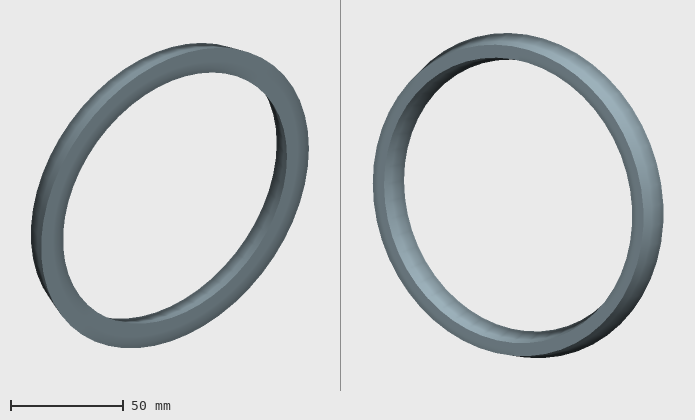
import cadquery as cq

width = 12.0
outer_diameter = 146.6
bore_diameter = 122.6
flank_inset = 3.1

outer_radius = outer_diameter / 2
bore_radius = bore_diameter / 2

section = (
    cq.Workplane("XY")
    .moveTo(0, bore_radius + flank_inset)
    .lineTo(0, outer_radius - flank_inset)
    .lineTo(width, outer_radius)
    .lineTo(width, bore_radius)
    .close()
)

result = section.revolve(360, (0, 0, 0), (1, 0, 0))